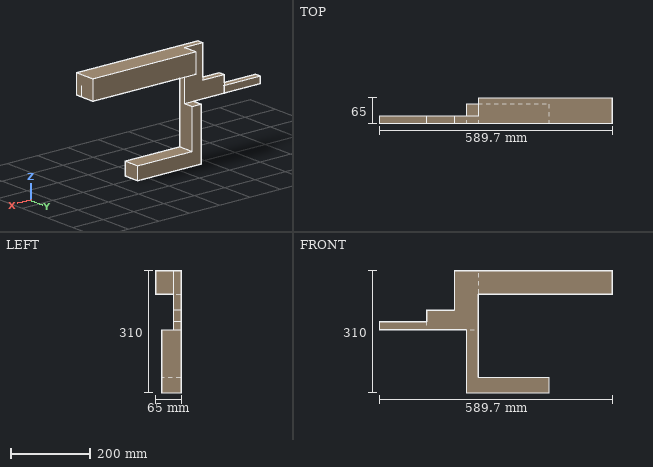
import cadquery as cq

total_height = 310.0
post_top = 160.0
tab_height = 20.5
step_top = 210.0
upper_arm_height = 60.0
lower_arm_height = 40.0

total_length = 589.68
tab_length = 119.5
step_length = 70.4
web_width = 60.3
post_width = 30.0
lower_arm_length = 209.5

plate_depth = 20.0
tab_depth = 19.5
post_depth = 50.0
upper_arm_depth = 65.0

plate_end_lean = 0.3

web_left = tab_length + step_length
web_right = web_left + web_width
post_left = web_right - post_width
upper_arm_bottom = total_height - upper_arm_height
upper_arm_middle = total_height - upper_arm_height / 2
tab_top = post_top + tab_height


def block(x_min, x_max, z_min, z_max, depth):
    """Rectangular block standing on the front face and reaching back by depth."""
    box = cq.Workplane("XY").box(x_max - x_min, depth, z_max - z_min, centered=False)
    return box.translate((x_min, 0, z_min))


def front_plate():
    """Thin plate: front of the upper arm, web and step in one outline."""
    outline = [
        (tab_length, post_top),
        (web_right, post_top),
        (web_right, upper_arm_bottom),
        (total_length - plate_end_lean, upper_arm_bottom),
        (total_length, upper_arm_middle),
        (total_length, total_height),
        (web_left, total_height),
        (web_left, step_top),
        (tab_length, step_top),
    ]
    return cq.Workplane("XZ").polyline(outline).close().extrude(-plate_depth)


def tab():
    """Slim tab, slightly thinner than the plate it extends."""
    return block(0, tab_length, post_top, tab_top, tab_depth)


def upper_arm_backing():
    """Square-ended bar behind the plate that thickens the upper arm."""
    backing_depth = upper_arm_depth - plate_depth
    bar = block(web_right, total_length, upper_arm_bottom, total_height, backing_depth)
    return bar.translate((0, plate_depth, 0))


def lower_bracket():
    """L-shaped post and lower arm."""
    post = block(post_left, web_right, 0, post_top, post_depth)
    arm = block(post_left, post_left + lower_arm_length, 0, lower_arm_height, post_depth)
    return post.union(arm)


result = front_plate().union(tab()).union(upper_arm_backing()).union(lower_bracket())